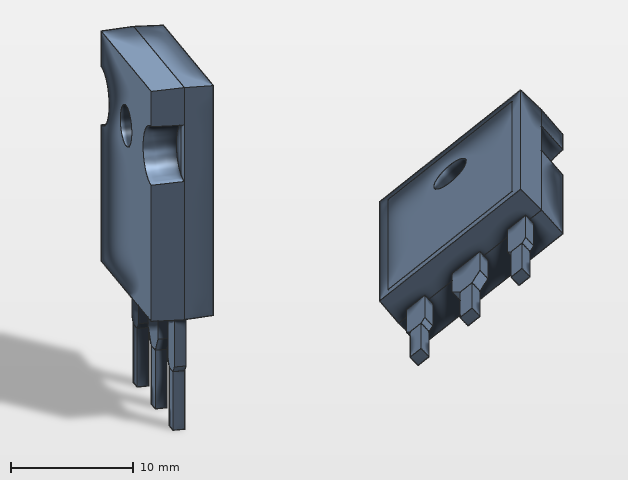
import cadquery as cq

housing_width = 15.5
housing_height = 20.2
front_depth = 2.8
rear_depth = 2.5
draft_inset = 0.1

hole_diameter = 3.5
hole_drop = 5.72
hole_z = housing_height - hole_drop
notch_radius = 2.45

slug_width = 13.45
slug_margin = (housing_width - slug_width) / 2
slug_height = housing_height - 2 * slug_margin

lead_pitch = 5.475
lead_thickness = 1.0
shank_length = 5.05
tip_length = 5.1
side_shank_width = 2.0
side_tip_width = 1.2
side_taper_height = 0.55
middle_shank_width = 3.0
middle_tip_width = 1.3
middle_taper_height = 1.25

leads = [
    (-lead_pitch, side_shank_width, side_tip_width, side_taper_height),
    (0, middle_shank_width, middle_tip_width, middle_taper_height),
    (lead_pitch, side_shank_width, side_tip_width, side_taper_height),
]


def drafted_block(depth):
    """Housing half that narrows from the parting plane to its outer face; negative depth is -Y."""
    parting_plane = cq.Workplane("XZ").center(0, housing_height / 2)
    return (
        parting_plane.rect(housing_width, housing_height)
        .workplane(offset=-depth)
        .rect(housing_width - 2 * draft_inset, housing_height - 2 * draft_inset)
        .loft(combine=True)
    )


def mounting_hole():
    """Cylinder through the full depth of the housing."""
    return (
        cq.Workplane("XZ", origin=(0, rear_depth, 0))
        .center(0, hole_z)
        .circle(hole_diameter / 2)
        .extrude(front_depth + rear_depth)
    )


def side_notch(side):
    """Drafted round notch that opens towards the front face, centred on a side edge."""
    return (
        cq.Workplane("XZ")
        .center(side * housing_width / 2, hole_z)
        .circle(notch_radius)
        .workplane(offset=front_depth)
        .circle(notch_radius + draft_inset)
        .loft(combine=True)
    )


def slug_block():
    """Heat slug blank, reaching from the parting plane to the rear face."""
    return (
        cq.Workplane("XZ")
        .center(0, housing_height / 2)
        .rect(slug_width, slug_height)
        .extrude(-rear_depth)
    )


def front_housing():
    """Front half with the mounting hole and a notch in each side edge."""
    body = drafted_block(-front_depth).cut(mounting_hole())
    for side in (-1, 1):
        body = body.cut(side_notch(side))
    return body


def rear_housing():
    """Rear half, a frame around the heat slug."""
    return drafted_block(rear_depth).cut(slug_block())


def heat_slug():
    """Metal slug inside the rear half, pierced by the mounting hole."""
    return slug_block().cut(mounting_hole())


def lead_shank(x, shank_width, tip_width, taper_height):
    """Wide part of a lead, tapering at its lower end to the width of the tip."""
    half_shank = shank_width / 2
    half_tip = tip_width / 2
    taper_top = taper_height - shank_length
    return (
        cq.Workplane("XZ")
        .polyline([
            (x - half_shank, 0),
            (x + half_shank, 0),
            (x + half_shank, taper_top),
            (x + half_tip, -shank_length),
            (x - half_tip, -shank_length),
            (x - half_shank, taper_top),
        ])
        .close()
        .extrude(lead_thickness / 2, both=True)
    )


def lead_tip(x, tip_width):
    """Narrow straight end of a lead, below its shank."""
    tip_centre_z = -shank_length - tip_length / 2
    return cq.Workplane("XY").box(tip_width, lead_thickness, tip_length).translate((x, 0, tip_centre_z))


bodies = [front_housing().val(), rear_housing().val(), heat_slug().val()]
for x, shank_width, tip_width, taper_height in leads:
    bodies.append(lead_shank(x, shank_width, tip_width, taper_height).val())
    bodies.append(lead_tip(x, tip_width).val())

result = cq.Compound.makeCompound(bodies)